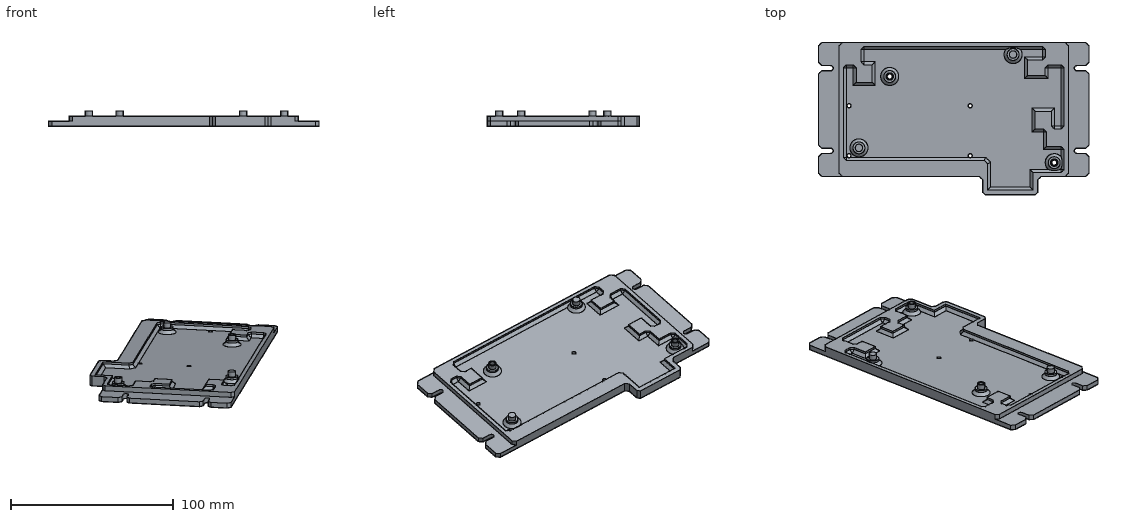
import cadquery as cq
import math

FLANGE_LENGTH = 166.37
BODY_LENGTH = 140.97
PLATE_WIDTH = 82.55
FLANGE_THICKNESS = 3.175
BODY_THICKNESS = 6.35
CORNER_CHAMFER = 2.032

TAB_LEFT = 17.8
TAB_RIGHT = 51.7
TAB_REACH = 11.22
TAB_CORNER_CHAMFER = 1.6

SLOT_WIDTH = 3.05
SLOT_DEPTH = 9.0
SLOT_Y = 25.4
SLOT_MOUTH_CHAMFER = 2.032

POCKET_FLOOR = 3.175
BODY_WALL = 2.54
TAB_WALL = 3.05
POCKET_FOOT = 1.9
TAB_LEDGE_CHAMFER = 2.032

NOTCH_TOP = 27.5
FRONT_LEDGE_TOP = -31.3

LEFT_LEDGE_NECK_X = -57.1
LEFT_LEDGE_LEFT = -59.94
LEFT_LEDGE_RIGHT = -50.2
LEFT_LEDGE_BOTTOM = 16.75

TOP_LEDGE_NECK_X = 56.4
TOP_LEDGE_LEFT = 45.45
TOP_LEDGE_RIGHT = 56.2
TOP_LEDGE_TOP = 30.45
TOP_LEDGE_BOTTOM = 20.97

RIGHT_LEDGE_LEFT = 50.1
RIGHT_LEDGE_RIGHT = 60.0
RIGHT_LEDGE_STEP_X = 56.95
RIGHT_LEDGE_TOP = -1.1
RIGHT_LEDGE_STEP_Y = -11.95
RIGHT_LEDGE_BOTTOM = -22.8

BOSS_DIAMETER = 7.3
BOSS_FOOT = 1.9
PIN_DIAMETER = 4.57
PIN_HEIGHT = 3.175
PIN_HOLE_DIAMETER = 3.05
SOLID_BOSSES = [(-58.3, -23.6), (36.5, 33.8)]
HOLLOW_BOSSES = [(-39.4, 20.3), (61.8, -32.7)]

FLOOR_HOLE_DIAMETER = 2.39
FLOOR_HOLE_XS = (-64.4, 10.1)
FLOOR_HOLE_YS = (2.3, -28.4)

PLATE_EDGE_Y = PLATE_WIDTH / 2
TAB_EDGE_Y = -PLATE_EDGE_Y - TAB_REACH
POCKET_X = BODY_LENGTH / 2 - BODY_WALL
POCKET_Y = PLATE_EDGE_Y - BODY_WALL
TAB_POCKET_LEFT = TAB_LEFT + TAB_WALL
TAB_POCKET_RIGHT = TAB_RIGHT - TAB_WALL
TAB_POCKET_Y = TAB_EDGE_Y + TAB_WALL

POCKET_OUTLINE = [
    (-POCKET_X, NOTCH_TOP, True),
    (LEFT_LEDGE_LEFT, NOTCH_TOP, True),
    (LEFT_LEDGE_LEFT, LEFT_LEDGE_BOTTOM, False),
    (LEFT_LEDGE_RIGHT, LEFT_LEDGE_BOTTOM, False),
    (LEFT_LEDGE_RIGHT, NOTCH_TOP, False),
    (LEFT_LEDGE_NECK_X, NOTCH_TOP, True),
    (LEFT_LEDGE_NECK_X, POCKET_Y, True),
    (TOP_LEDGE_NECK_X, POCKET_Y, True),
    (TOP_LEDGE_NECK_X, TOP_LEDGE_TOP, True),
    (TOP_LEDGE_LEFT, TOP_LEDGE_TOP, False),
    (TOP_LEDGE_LEFT, TOP_LEDGE_BOTTOM, False),
    (TOP_LEDGE_RIGHT, TOP_LEDGE_BOTTOM, False),
    (TOP_LEDGE_RIGHT, NOTCH_TOP, True),
    (POCKET_X, NOTCH_TOP, True),
    (POCKET_X, RIGHT_LEDGE_STEP_Y, True),
    (RIGHT_LEDGE_RIGHT, RIGHT_LEDGE_STEP_Y, True),
    (RIGHT_LEDGE_RIGHT, RIGHT_LEDGE_TOP, False),
    (RIGHT_LEDGE_LEFT, RIGHT_LEDGE_TOP, False),
    (RIGHT_LEDGE_LEFT, RIGHT_LEDGE_STEP_Y, False),
    (RIGHT_LEDGE_STEP_X, RIGHT_LEDGE_STEP_Y, True),
    (RIGHT_LEDGE_STEP_X, RIGHT_LEDGE_BOTTOM, False),
    (POCKET_X, RIGHT_LEDGE_BOTTOM, True),
    (POCKET_X, -POCKET_Y, True),
    (TAB_POCKET_RIGHT, -POCKET_Y, False),
    (TAB_POCKET_RIGHT, TAB_POCKET_Y, False),
    (TAB_POCKET_LEFT, TAB_POCKET_Y, False),
    (TAB_POCKET_LEFT, FRONT_LEDGE_TOP, False),
    (-POCKET_X, FRONT_LEDGE_TOP, True),
]


def chamfer_upright_edges(solid, corners, size):
    """Chamfer the Z-parallel edges of a solid that stand on the given (x, y) corners."""
    tolerance = 0.01

    def on_a_corner(edge):
        center = edge.Center()
        return any(abs(center.x - x) < tolerance and abs(center.y - y) < tolerance for x, y in corners)

    edges = [edge for edge in solid.edges("|Z").vals() if on_a_corner(edge)]
    return solid.newObject(edges).chamfer(size)


def chamfered_plate(length, thickness):
    blank = cq.Workplane("XY").rect(length, PLATE_WIDTH).extrude(thickness)
    return blank.edges("|Z").chamfer(CORNER_CHAMFER)


def slotted_flange():
    """Flange with two open slots at each end, chamfered at the mouth and round at the blind end."""
    flange = chamfered_plate(FLANGE_LENGTH, FLANGE_THICKNESS)
    end_x = FLANGE_LENGTH / 2
    half_width = SLOT_WIDTH / 2
    mouth_corners = []
    for side in (-1, 1):
        for slot_y in (-SLOT_Y, SLOT_Y):
            slot = (
                cq.Workplane("XY")
                .center(side * end_x, slot_y)
                .slot2D(2 * SLOT_DEPTH, SLOT_WIDTH)
                .extrude(FLANGE_THICKNESS)
            )
            flange = flange.cut(slot)
            mouth_corners.append((side * end_x, slot_y - half_width))
            mouth_corners.append((side * end_x, slot_y + half_width))
    return chamfer_upright_edges(flange, mouth_corners, SLOT_MOUTH_CHAMFER)


def base():
    """Flange, body and tab in one piece, with the tab's corners chamfered."""
    tab = (
        cq.Workplane("XY")
        .center((TAB_LEFT + TAB_RIGHT) / 2, TAB_EDGE_Y / 2)
        .rect(TAB_RIGHT - TAB_LEFT, -TAB_EDGE_Y)
        .extrude(BODY_THICKNESS)
    )
    blank = slotted_flange().union(chamfered_plate(BODY_LENGTH, BODY_THICKNESS)).union(tab)
    outer_corners = [(x, TAB_EDGE_Y) for x in (TAB_LEFT, TAB_RIGHT)]
    inner_corners = [(x, -PLATE_EDGE_Y) for x in (TAB_LEFT, TAB_RIGHT)]
    blank = chamfer_upright_edges(blank, outer_corners, TAB_CORNER_CHAMFER)
    return chamfer_upright_edges(blank, inner_corners, CORNER_CHAMFER)


def corner_trim(x, y, outward_x, outward_y):
    """Wedge across an inside corner of the pocket.

    It is upright above the foot; below, it slopes to the point where the two wall feet meet the floor.
    """
    upright_reach = POCKET_FOOT / math.sqrt(2)
    floor_reach = POCKET_FOOT * math.sqrt(2)
    foot_top = POCKET_FLOOR + POCKET_FOOT
    wedge = (
        cq.Workplane("XZ")
        .moveTo(0, POCKET_FLOOR)
        .lineTo(-floor_reach, POCKET_FLOOR)
        .lineTo(-upright_reach, foot_top)
        .lineTo(-upright_reach, BODY_THICKNESS)
        .lineTo(0, BODY_THICKNESS)
        .close()
        .extrude(POCKET_FOOT, both=True)
    )
    heading = math.degrees(math.atan2(outward_y, outward_x))
    return wedge.rotate((0, 0, 0), (0, 0, 1), heading).translate((x, y, 0))


def pocket():
    """Solid that fills the pocket, cut back where the wall feet and trimmed corners stay."""
    outline = [(x, y) for x, y, _ in POCKET_OUTLINE]
    filling = (
        cq.Workplane("XY", origin=(0, 0, POCKET_FLOOR))
        .polyline(outline)
        .close()
        .extrude(BODY_THICKNESS - POCKET_FLOOR)
    )
    tab_ledge_corner = (TAB_POCKET_LEFT, FRONT_LEDGE_TOP)
    filling = chamfer_upright_edges(filling, [tab_ledge_corner], TAB_LEDGE_CHAMFER)
    filling = filling.faces("<Z").edges().chamfer(POCKET_FOOT)
    for index, (x, y, is_trimmed) in enumerate(POCKET_OUTLINE):
        if is_trimmed:
            before_x, before_y = outline[index - 1]
            after_x, after_y = outline[(index + 1) % len(outline)]
            outward_x = math.copysign(1, 2 * x - before_x - after_x)
            outward_y = math.copysign(1, 2 * y - before_y - after_y)
            filling = filling.cut(corner_trim(x, y, outward_x, outward_y))
    return filling


def boss(x, y):
    """Round boss with a conical foot and a pin on top."""
    boss_radius = BOSS_DIAMETER / 2
    pin_radius = PIN_DIAMETER / 2
    pin_top = BODY_THICKNESS + PIN_HEIGHT
    foot_top = POCKET_FLOOR + BOSS_FOOT
    base_z = POCKET_FLOOR / 2
    foot_edge = boss_radius + BOSS_FOOT
    profile = (
        cq.Workplane("XZ")
        .moveTo(0, base_z)
        .lineTo(foot_edge, base_z)
        .lineTo(foot_edge, POCKET_FLOOR)
        .lineTo(boss_radius, foot_top)
        .lineTo(boss_radius, BODY_THICKNESS)
        .lineTo(pin_radius, BODY_THICKNESS)
        .lineTo(pin_radius, pin_top)
        .lineTo(0, pin_top)
        .close()
    )
    return profile.revolve(360, (0, 0, 0), (0, 1, 0)).translate((x, y, 0))


def through_holes(centers, diameter):
    height = BODY_THICKNESS + PIN_HEIGHT
    return cq.Workplane("XY").pushPoints(centers).circle(diameter / 2).extrude(height)


floor_holes = [(x, y) for x in FLOOR_HOLE_XS for y in FLOOR_HOLE_YS]

result = base().cut(pocket())
for boss_x, boss_y in SOLID_BOSSES + HOLLOW_BOSSES:
    result = result.union(boss(boss_x, boss_y))
result = result.cut(through_holes(HOLLOW_BOSSES, PIN_HOLE_DIAMETER))
result = result.cut(through_holes(floor_holes, FLOOR_HOLE_DIAMETER))